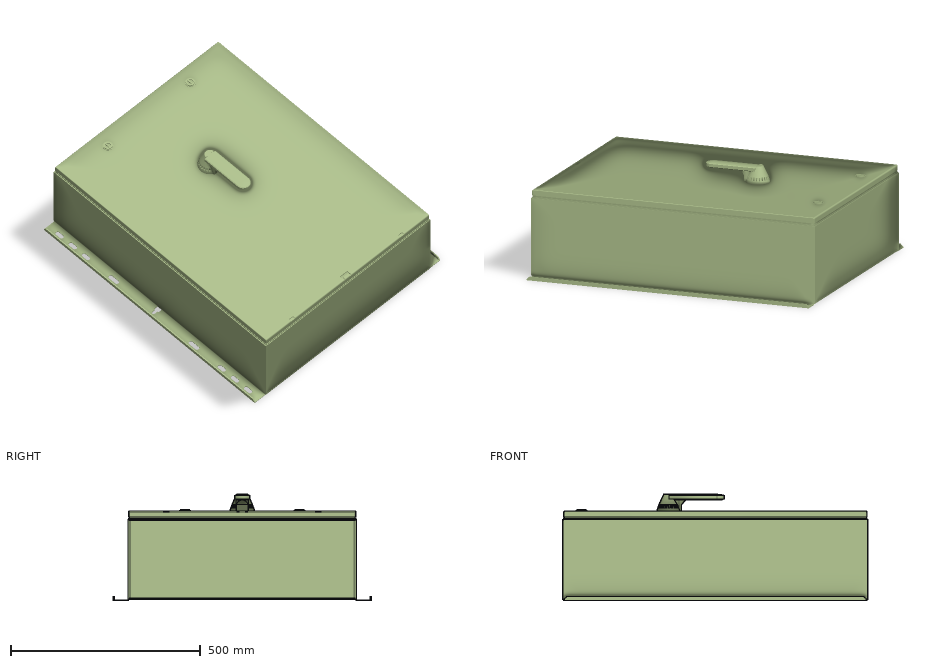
import cadquery as cq
import math


LENGTH = 803.5
WIDTH = 680.0
HEIGHT = 280.5

BOX_WIDTH = 603.0
BOX_BOTTOM = 3.0
BOX_TOP = 214.0
PANEL_SIDE_MARGIN = 7.0
PANEL_END_MARGIN = 3.0
PANEL_DEPTH = 1.0
PANEL_BEVEL = 3.0

DOOR_LEFT = -399.0
DOOR_RIGHT = 400.0
DOOR_WIDTH = 598.0
DOOR_BOTTOM = 221.0
DOOR_TOP = 236.0
DOOR_END_ROUND = 4.0
DOOR_SIDE_ROUND = 2.0
RIM_TOP = 217.0
SEAL_INSET = 2.0

FLANGE_LENGTH = 799.0
FLANGE_THICKNESS = 2.0
FLANGE_BEND = 2.0
LIP_HEIGHT = 10.5
LIP_THICKNESS = 3.0
LIP_CORNER = 8.0
SLOT_Y = 323.0
SLOT_WIDTH = 12.0
SHORT_SLOT = 26.5
LONG_SLOT = 35.0
SHORT_SLOT_X = (257.0, 307.0, 357.0)
LONG_SLOT_X = 152.0
KEYHOLE_TOP = 329.0
KEYHOLE_STEP = 314.0
KEYHOLE_NARROW = 9.0
KEYHOLE_WIDE = 16.0

HUB_X = -121.0
HUB_BASE_RADIUS = 33.0
HUB_BEND_RADIUS = 27.0
HUB_BEND_Z = 253.0
HUB_TOP_RADIUS = 14.5
GRIP_NOTCHES = 24
GRIP_NOTCH_WIDTH = 3.0
GRIP_NOTCH_DEPTH = 2.5
GRIP_BOTTOM = 244.0
LEVER_HALF_WIDTH = 20.0
LEVER_TIP_X = 4.0
LEVER_BOTTOM = 265.0
LEVER_SIDE_BOTTOM = 268.0
LEVER_SIDE_TOP = 276.5
LEVER_CROWN_Z = 278.0
LEVER_CROWN_HALF_WIDTH = 18.0
LEVER_BOTTOM_HALF_WIDTH = 13.0
NECK_TOP_REACH = 43.0
NECK_HALF_WIDTH = 17.0

LOCK_X = -352.0
LOCK_Y = 151.0
LOCK_FLANGE_RADIUS = 14.5
LOCK_FLANGE_HEIGHT = 1.0
LOCK_RADIUS = 12.0
LOCK_HEIGHT = 3.0
LOCK_RECESS_RADIUS = 8.0
LOCK_RECESS_DEPTH = 2.5
LOCK_BAR_WIDTH = 4.0

HINGE_Y = 200.0
HINGE_REACH = 8.0
HINGE_WIDTH = 14.0
LATCH_REACH = 16.0
LATCH_WIDTH = 27.0
LATCH_SIDE_GAP = 5.0
LATCH_INNER_GAP = 7.0
EDGE_RECESS_DEPTH = 2.5


def block(x0, x1, y0, y1, z0, z1):
    """Rectangular block between two opposite corners."""
    return cq.Workplane("XY").box(x1 - x0, y1 - y0, z1 - z0, centered=False).translate((x0, y0, z0))


def disc(x, y, z, radius, height):
    return cq.Workplane("XY").workplane(offset=z).center(x, y).circle(radius).extrude(height)


def make_box():
    """Box with a shallow bevelled panel sunk into each end face."""
    half_x = LENGTH / 2
    box = block(-half_x, half_x, -BOX_WIDTH / 2, BOX_WIDTH / 2, BOX_BOTTOM, BOX_TOP)
    panel_width = BOX_WIDTH - 2 * (PANEL_SIDE_MARGIN - PANEL_BEVEL)
    panel_height = BOX_TOP - BOX_BOTTOM - 2 * PANEL_END_MARGIN
    panel = (
        cq.Workplane("YZ", origin=(-half_x, 0, (BOX_BOTTOM + BOX_TOP) / 2))
        .rect(panel_width, panel_height)
        .workplane(offset=PANEL_DEPTH)
        .rect(panel_width - 2 * PANEL_BEVEL, panel_height)
        .loft(ruled=True)
    )
    return box.cut(panel).cut(panel.mirror("YZ"))


def make_door():
    """Door slab with its rim and seal below, and the hinge and latch recesses on the +X edge."""
    half_y = DOOR_WIDTH / 2
    door = block(DOOR_LEFT, DOOR_RIGHT, -half_y, half_y, DOOR_BOTTOM, DOOR_TOP)
    door = door.faces(">Z").edges("|Y").fillet(DOOR_END_ROUND)
    door = door.faces(">Z").edges("|X").fillet(DOOR_SIDE_ROUND)
    rim = block(DOOR_LEFT, DOOR_RIGHT, -half_y, half_y, BOX_TOP, RIM_TOP)
    seal_y = half_y - SEAL_INSET
    seal = block(DOOR_LEFT + SEAL_INSET, DOOR_RIGHT - SEAL_INSET, -seal_y, seal_y, RIM_TOP, DOOR_BOTTOM)
    door = door.union(rim).union(seal)

    def edge_recess(y, reach, width):
        return block(
            DOOR_RIGHT - reach, DOOR_RIGHT,
            y - width / 2, y + width / 2,
            DOOR_TOP - EDGE_RECESS_DEPTH, DOOR_TOP,
        )

    for y in (-HINGE_Y, HINGE_Y):
        door = door.cut(edge_recess(y, HINGE_REACH, HINGE_WIDTH))
    latch = edge_recess(0, LATCH_REACH, LATCH_WIDTH)
    latch_island = edge_recess(0, LATCH_REACH - LATCH_INNER_GAP, LATCH_WIDTH - 2 * LATCH_SIDE_GAP)
    return door.cut(latch.cut(latch_island))


def make_flange():
    """Flange on the +Y side, bent out of the box wall, with an upturned lip along its outer edge."""
    outer = WIDTH / 2
    wall = BOX_WIDTH / 2
    bend_top = FLANGE_THICKNESS + FLANGE_BEND
    bend_mid = FLANGE_BEND * (1 - math.sqrt(0.5))
    flange = (
        cq.Workplane("YZ")
        .moveTo(wall - FLANGE_BEND, 0)
        .lineTo(outer, 0)
        .lineTo(outer, LIP_HEIGHT)
        .lineTo(outer - LIP_THICKNESS, LIP_HEIGHT)
        .lineTo(outer - LIP_THICKNESS, FLANGE_THICKNESS)
        .lineTo(wall + FLANGE_BEND, FLANGE_THICKNESS)
        .threePointArc((wall + bend_mid, FLANGE_THICKNESS + bend_mid), (wall, bend_top))
        .lineTo(wall - FLANGE_BEND, bend_top)
        .close()
        .extrude(FLANGE_LENGTH / 2, both=True)
    )
    flange = flange.faces(">Z").edges("|Y").chamfer(LIP_CORNER)

    slots = [(sign * x, SHORT_SLOT) for sign in (-1, 1) for x in SHORT_SLOT_X]
    slots += [(sign * LONG_SLOT_X, LONG_SLOT) for sign in (-1, 1)]
    for x, length in slots:
        cutter = cq.Workplane("XY").center(x, SLOT_Y).slot2D(length, SLOT_WIDTH).extrude(FLANGE_THICKNESS)
        flange = flange.cut(cutter)

    narrow = KEYHOLE_NARROW / 2
    wide = KEYHOLE_WIDE / 2
    round_y = KEYHOLE_TOP - narrow
    flange = flange.cut(block(-wide, wide, wall, KEYHOLE_STEP, 0, bend_top))
    flange = flange.cut(block(-narrow, narrow, KEYHOLE_STEP, round_y, 0, FLANGE_THICKNESS))
    return flange.cut(disc(0, round_y, 0, narrow, FLANGE_THICKNESS))


def make_hub():
    """Tapered hub with grip notches around its lower part."""
    hub = (
        cq.Workplane("XZ")
        .moveTo(0, DOOR_TOP)
        .lineTo(HUB_BASE_RADIUS, DOOR_TOP)
        .lineTo(HUB_BEND_RADIUS, HUB_BEND_Z)
        .lineTo(HUB_TOP_RADIUS, HEIGHT)
        .lineTo(0, HEIGHT)
        .close()
        .revolve(360, (0, 0, 0), (0, 1, 0))
    )
    half_notch = GRIP_NOTCH_WIDTH / 2
    notch = block(
        HUB_BEND_RADIUS - GRIP_NOTCH_DEPTH, HUB_BASE_RADIUS,
        -half_notch, half_notch,
        GRIP_BOTTOM, HUB_BEND_Z,
    )
    for i in range(GRIP_NOTCHES):
        hub = hub.cut(notch.rotate((0, 0, 0), (0, 0, 1), i * 360 / GRIP_NOTCHES))
    half_cap = block(0, HUB_BASE_RADIUS, -HUB_BASE_RADIUS, HUB_BASE_RADIUS, LEVER_SIDE_BOTTOM, HEIGHT)
    return hub.cut(half_cap).translate((HUB_X, 0, 0))


def make_lever():
    """Crowned bar with a rounded tip, and the neck that joins it to the hub."""
    crown_drop = HEIGHT - LEVER_CROWN_Z
    crown_radius = (LEVER_CROWN_HALF_WIDTH**2 + crown_drop**2) / (2 * crown_drop)
    crown_mid = LEVER_CROWN_HALF_WIDTH / 2
    crown_mid_z = HEIGHT - crown_radius + math.sqrt(crown_radius**2 - crown_mid**2)

    def right_side(plane):
        """Right-hand edge of the cross-section, from the bottom up to the crown."""
        return (
            cq.Workplane(plane)
            .moveTo(0, LEVER_BOTTOM)
            .lineTo(LEVER_BOTTOM_HALF_WIDTH, LEVER_BOTTOM)
            .lineTo(LEVER_HALF_WIDTH, LEVER_SIDE_BOTTOM)
            .lineTo(LEVER_HALF_WIDTH, LEVER_SIDE_TOP)
            .lineTo(LEVER_CROWN_HALF_WIDTH, LEVER_CROWN_Z)
        )

    bar = (
        right_side("YZ")
        .threePointArc((0, HEIGHT), (-LEVER_CROWN_HALF_WIDTH, LEVER_CROWN_Z))
        .lineTo(-LEVER_HALF_WIDTH, LEVER_SIDE_TOP)
        .lineTo(-LEVER_HALF_WIDTH, LEVER_SIDE_BOTTOM)
        .lineTo(-LEVER_BOTTOM_HALF_WIDTH, LEVER_BOTTOM)
        .close()
        .extrude(LEVER_TIP_X - HUB_X)
        .translate((HUB_X, 0, 0))
    )
    tip = (
        right_side("XZ")
        .threePointArc((crown_mid, crown_mid_z), (0, HEIGHT))
        .close()
        .revolve(360, (0, 0, 0), (0, 1, 0))
        .translate((LEVER_TIP_X, 0, 0))
    )
    tip = tip.cut(block(HUB_X, LEVER_TIP_X, -LEVER_HALF_WIDTH, LEVER_HALF_WIDTH, LEVER_BOTTOM, HEIGHT))
    neck = (
        cq.Workplane("XZ")
        .moveTo(HUB_X, DOOR_TOP)
        .lineTo(HUB_X + HUB_BASE_RADIUS, DOOR_TOP)
        .lineTo(HUB_X + HUB_BASE_RADIUS, HUB_BEND_Z)
        .lineTo(HUB_X + NECK_TOP_REACH, LEVER_BOTTOM)
        .lineTo(HUB_X, LEVER_BOTTOM)
        .close()
        .extrude(NECK_HALF_WIDTH, both=True)
    )
    rounded_plan = (
        cq.Workplane("XY", origin=(HUB_X, 0, DOOR_TOP))
        .slot2D(2 * NECK_TOP_REACH, 2 * NECK_HALF_WIDTH)
        .extrude(LEVER_BOTTOM - DOOR_TOP)
    )
    neck = neck.intersect(rounded_plan)
    return bar.union(tip).union(neck)


def make_lock(y):
    """Round lock insert with a bar across its recess."""
    top = DOOR_TOP + LOCK_HEIGHT
    lock = disc(LOCK_X, y, DOOR_TOP, LOCK_FLANGE_RADIUS, LOCK_FLANGE_HEIGHT)
    lock = lock.union(disc(LOCK_X, y, DOOR_TOP, LOCK_RADIUS, LOCK_HEIGHT))
    lock = lock.cut(disc(LOCK_X, y, top - LOCK_RECESS_DEPTH, LOCK_RECESS_RADIUS, LOCK_RECESS_DEPTH))
    half_bar = LOCK_BAR_WIDTH / 2
    bar = block(
        LOCK_X - LOCK_RECESS_RADIUS, LOCK_X + LOCK_RECESS_RADIUS,
        y - half_bar, y + half_bar, DOOR_TOP, top,
    )
    return lock.union(bar)


flange = make_flange()
result = make_box().union(make_door())
result = result.union(flange).union(flange.mirror("XZ"))
result = result.union(make_hub()).union(make_lever())
for lock_y in (-LOCK_Y, LOCK_Y):
    result = result.union(make_lock(lock_y))